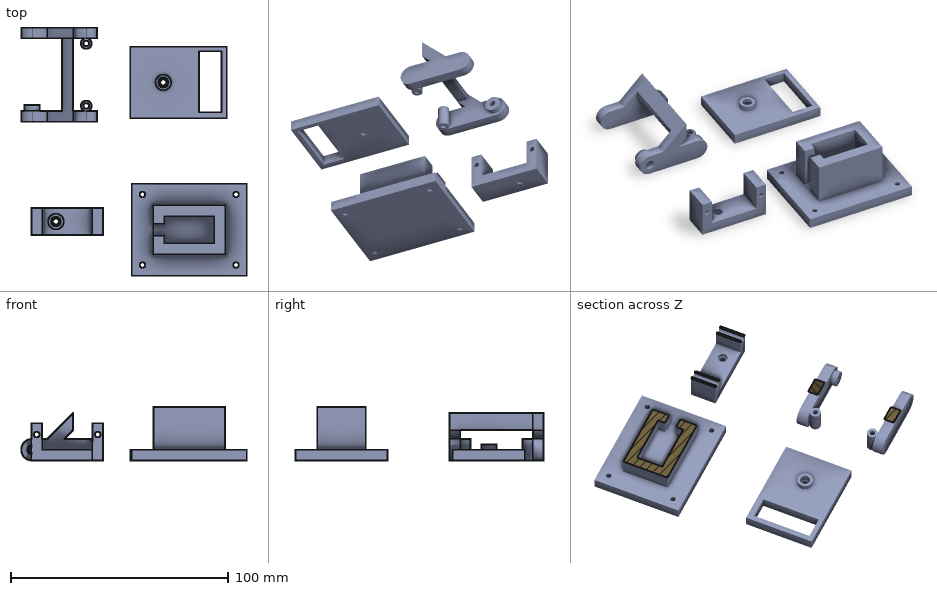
import cadquery as cq
import math

WALL = 5.0
SERVO_LENGTH = 23.1
SERVO_WIDTH = 12.5
BOX_LENGTH = SERVO_LENGTH + 2 * WALL
BOX_WIDTH = SERVO_WIDTH + 2 * WALL

BOSS_DIAMETER = 7.2
HEAD_DIAMETER = 4.4
HUB_HEAD_DEPTH = 1.5
PIVOT_SCREW_DIAMETER = 2.8
SPLINE_TEETH = 21
SPLINE_TIP_DIAMETER = 4.9
SPLINE_ROOT_DIAMETER = 4.4
SPLINE_DEPTH = 3.0
SCREW_DIAMETER = 2.5

BASE_X = 50.9
BASE_Y = 0.0
FLANGE = 10.0
BASE_LENGTH = BOX_LENGTH + 2 * FLANGE
BASE_WIDTH = BOX_WIDTH + 2 * FLANGE
TOWER_TOP = 24.71
TOWER_FLOOR = 5.5
CABLE_SLOT_WIDTH = 5.5
MOUNT_INSET = 5.0

BRACKET_X = 4.7
BRACKET_Y = 18.8
BRACKET_HEIGHT = 17.3
BRACKET_HOLE_Z = 12.0
BRACKET_BORE_X = BRACKET_X + 11.3
BRACKET_BORE_Y = BRACKET_Y + SERVO_WIDTH / 2

PLATE_X = 50.2
PLATE_Y = 72.6
PLATE_LENGTH = 44.6
PLATE_WIDTH = BOX_LENGTH
WINDOW_LENGTH = 10.3
WINDOW_WIDTH = 28.0
WINDOW_MARGIN_X = 2.5
WINDOW_MARGIN_Y = 2.2
PLATE_BOSS_X = PLATE_X + 15.3
PLATE_BOSS_HEIGHT = 2.5

FRAME_Y = 71.0
ARM_RADIUS = 5.0
ARM_PIVOT_SPAN = 25.0
ARM_GAP = 33.4
ARM_HEIGHT = 2 * ARM_RADIUS
ARM_TIP_X = ARM_RADIUS + ARM_PIVOT_SPAN
NEAR_INNER_Y = FRAME_Y + WALL
FAR_INNER_Y = NEAR_INNER_Y + ARM_GAP
STRUT_FOOT_X = 12.0
STRUT_WIDTH = 8.0
STRUT_RISE = 12.0
STRUT_TIP_X = STRUT_FOOT_X + STRUT_RISE
STRUT_PEAK = ARM_HEIGHT + STRUT_RISE
BAR_WIDTH = 5.2
BAR_BOTTOM = STRUT_PEAK - STRUT_WIDTH
FRAME_BOSS_HEIGHT = 2.8
FRAME_HEAD_DEPTH = WALL

TUBE_DIAMETER = 5.0
TUBE_OVERLAP = 0.2
TUBE_OFFSET = TUBE_DIAMETER / 2 - TUBE_OVERLAP


def box(x, y, z, length, width, height):
    """Block whose lowest corner is at x, y, z."""
    return cq.Workplane("XY").box(length, width, height, centered=False).translate((x, y, z))


def rod(x, y, z, diameter, height):
    """Upright cylinder standing on x, y, z."""
    return cq.Workplane("XY").circle(diameter / 2).extrude(height).translate((x, y, z))


def rod_along_y(x, y, z, diameter, length):
    """Cylinder running toward +Y from x, y, z."""
    return cq.Workplane("XZ").circle(diameter / 2).extrude(-length).translate((x, y, z))


def make_spline(depth):
    """Toothed servo-shaft socket standing on the origin along Z."""
    points = []
    for step in range(2 * SPLINE_TEETH):
        radius = (SPLINE_TIP_DIAMETER if step % 2 == 0 else SPLINE_ROOT_DIAMETER) / 2
        angle = math.pi * step / SPLINE_TEETH
        points.append((radius * math.cos(angle), radius * math.sin(angle)))
    return cq.Workplane("XY").polyline(points).close().extrude(depth)


def make_base():
    """Flanged plate with a servo tower, a cable slot and four screw holes."""
    tower_x = BASE_X + FLANGE
    tower_y = BASE_Y + FLANGE
    body = box(BASE_X, BASE_Y, 0, BASE_LENGTH, BASE_WIDTH, WALL)
    body = body.union(box(tower_x, tower_y, 0, BOX_LENGTH, BOX_WIDTH, TOWER_TOP))
    depth = TOWER_TOP - TOWER_FLOOR
    body = body.cut(box(tower_x + WALL, tower_y + WALL, TOWER_FLOOR, SERVO_LENGTH, SERVO_WIDTH, depth))
    slot_y = tower_y + (BOX_WIDTH - CABLE_SLOT_WIDTH) / 2
    body = body.cut(box(tower_x, slot_y, TOWER_FLOOR, WALL, CABLE_SLOT_WIDTH, depth))
    for x in (BASE_X + MOUNT_INSET, BASE_X + BASE_LENGTH - MOUNT_INSET):
        for y in (BASE_Y + MOUNT_INSET, BASE_Y + BASE_WIDTH - MOUNT_INSET):
            body = body.cut(rod(x, y, 0, SCREW_DIAMETER, WALL))
    return body


def make_upright(x):
    """Bracket post with a cross hole along Y."""
    body = box(x, BRACKET_Y, 0, WALL, SERVO_WIDTH, BRACKET_HEIGHT)
    return body.cut(rod_along_y(x + WALL / 2, BRACKET_Y, BRACKET_HOLE_Z, SCREW_DIAMETER, SERVO_WIDTH))


def make_bracket():
    """Bracket floor with its left post, bored for the hub."""
    body = box(BRACKET_X, BRACKET_Y, 0, BOX_LENGTH - WALL, SERVO_WIDTH, WALL)
    body = body.union(make_upright(BRACKET_X))
    return body.cut(rod(BRACKET_BORE_X, BRACKET_BORE_Y, 0, BOSS_DIAMETER, WALL))


def make_bracket_hub():
    """Flush hub with a screw hole and a recess for the screw head."""
    body = rod(BRACKET_BORE_X, BRACKET_BORE_Y, 0, BOSS_DIAMETER, WALL)
    body = body.cut(rod(BRACKET_BORE_X, BRACKET_BORE_Y, 0, PIVOT_SCREW_DIAMETER, WALL))
    return body.cut(rod(BRACKET_BORE_X, BRACKET_BORE_Y, WALL - HUB_HEAD_DEPTH, HEAD_DIAMETER, HUB_HEAD_DEPTH))


def make_plate():
    """Windowed plate with a splined pivot boss."""
    body = box(PLATE_X, PLATE_Y, 0, PLATE_LENGTH, PLATE_WIDTH, WALL)
    window_x = PLATE_X + PLATE_LENGTH - WINDOW_MARGIN_X - WINDOW_LENGTH
    window_y = PLATE_Y + PLATE_WIDTH - WINDOW_MARGIN_Y - WINDOW_WIDTH
    body = body.cut(box(window_x, window_y, 0, WINDOW_LENGTH, WINDOW_WIDTH, WALL))
    boss_y = PLATE_Y + PLATE_WIDTH / 2
    top = WALL + PLATE_BOSS_HEIGHT
    body = body.union(rod(PLATE_BOSS_X, boss_y, 0, BOSS_DIAMETER, top))
    body = body.cut(rod(PLATE_BOSS_X, boss_y, 0, PIVOT_SCREW_DIAMETER, top))
    return body.cut(make_spline(SPLINE_DEPTH).translate((PLATE_BOSS_X, boss_y, top - SPLINE_DEPTH)))


def make_arm(y, tube_y):
    """Round-ended arm with a vertical tube merged into its inner face."""
    body = box(ARM_RADIUS, y, 0, ARM_PIVOT_SPAN, WALL, ARM_HEIGHT)
    for x in (ARM_RADIUS, ARM_TIP_X):
        body = body.union(rod_along_y(x, y, ARM_RADIUS, ARM_HEIGHT, WALL))
    body = body.union(rod(ARM_TIP_X, tube_y, 0, TUBE_DIAMETER, ARM_HEIGHT))
    return body.cut(rod(ARM_TIP_X, tube_y, 0, SCREW_DIAMETER, ARM_HEIGHT))


def make_strut(y):
    """Leaning strut that stands on an arm."""
    outline = [
        (STRUT_FOOT_X, ARM_HEIGHT),
        (STRUT_FOOT_X + STRUT_WIDTH, ARM_HEIGHT),
        (STRUT_TIP_X, BAR_BOTTOM),
        (STRUT_TIP_X, STRUT_PEAK),
    ]
    return cq.Workplane("XZ").polyline(outline).close().extrude(-WALL).translate((0, y, 0))


def make_bar():
    """Crossbar between the struts, with its top following their slope."""
    back_x = STRUT_TIP_X - BAR_WIDTH
    outline = [
        (STRUT_TIP_X, BAR_BOTTOM),
        (STRUT_TIP_X, STRUT_PEAK),
        (back_x, STRUT_PEAK - BAR_WIDTH),
        (back_x, BAR_BOTTOM),
    ]
    return cq.Workplane("XZ").polyline(outline).close().extrude(-ARM_GAP).translate((0, NEAR_INNER_Y, 0))


def make_frame():
    """Near arm and strut with the crossbar and the pivot boss."""
    body = make_arm(FRAME_Y, NEAR_INNER_Y + TUBE_OFFSET)
    body = body.union(make_strut(FRAME_Y)).union(make_bar())
    body = body.union(rod_along_y(ARM_RADIUS, NEAR_INNER_Y, ARM_RADIUS, BOSS_DIAMETER, FRAME_BOSS_HEIGHT))
    length = WALL + FRAME_BOSS_HEIGHT
    body = body.cut(rod_along_y(ARM_RADIUS, FRAME_Y, ARM_RADIUS, PIVOT_SCREW_DIAMETER, length))
    body = body.cut(rod_along_y(ARM_RADIUS, FRAME_Y, ARM_RADIUS, HEAD_DIAMETER, FRAME_HEAD_DEPTH))
    return body


result = cq.Compound.makeCompound(
    [
        make_base().val(),
        make_bracket().val(),
        make_upright(BRACKET_X + BOX_LENGTH - WALL).val(),
        make_bracket_hub().val(),
        make_plate().val(),
        make_frame().val(),
        make_strut(FAR_INNER_Y).val(),
        make_arm(FAR_INNER_Y, FAR_INNER_Y - TUBE_OFFSET).val(),
    ]
)